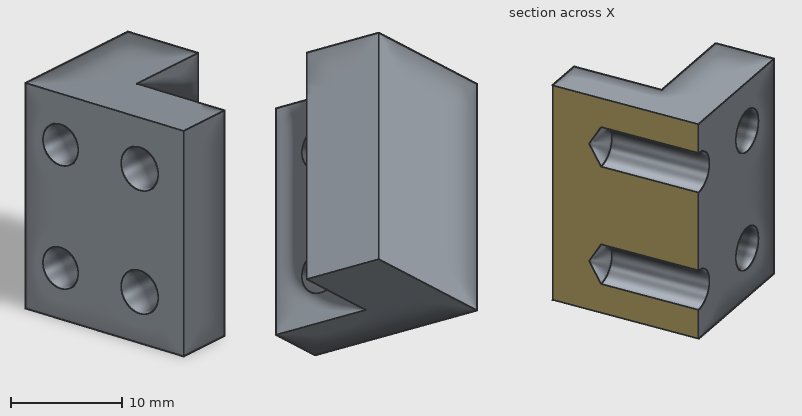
import cadquery as cq
import math

width = 18.0
depth = 15.0
height = 22.0
block_width = 8.0
plate_thickness = 6.0

hole_edge_distance = 5.0
hole_heights = (hole_edge_distance, height - hole_edge_distance)

blind_x = block_width / 2
blind_diameter = 4.0
blind_depth = 10.0
drill_point_angle = 118.0

through_x = 13.0
through_diameter = 4.2


def make_body():
    return (
        cq.Workplane("XY")
        .moveTo(0, 0)
        .lineTo(width, 0)
        .lineTo(width, plate_thickness)
        .lineTo(block_width, plate_thickness)
        .lineTo(block_width, depth)
        .lineTo(0, depth)
        .close()
        .extrude(height)
    )


def make_blind_hole(z):
    """Cylinder with a conical tip, made by revolving half its section about its axis."""
    radius = blind_diameter / 2
    tip_length = radius / math.tan(math.radians(drill_point_angle / 2))
    return (
        cq.Workplane("XY")
        .lineTo(radius, 0)
        .lineTo(radius, blind_depth)
        .lineTo(0, blind_depth + tip_length)
        .close()
        .revolve(360, (0, 0), (0, 1))
        .translate((blind_x, 0, z))
    )


def make_through_hole(z):
    return (
        cq.Workplane("XZ")
        .center(through_x, z)
        .circle(through_diameter / 2)
        .extrude(-plate_thickness)
    )


result = make_body()
for hole_z in hole_heights:
    result = result.cut(make_blind_hole(hole_z))
    result = result.cut(make_through_hole(hole_z))